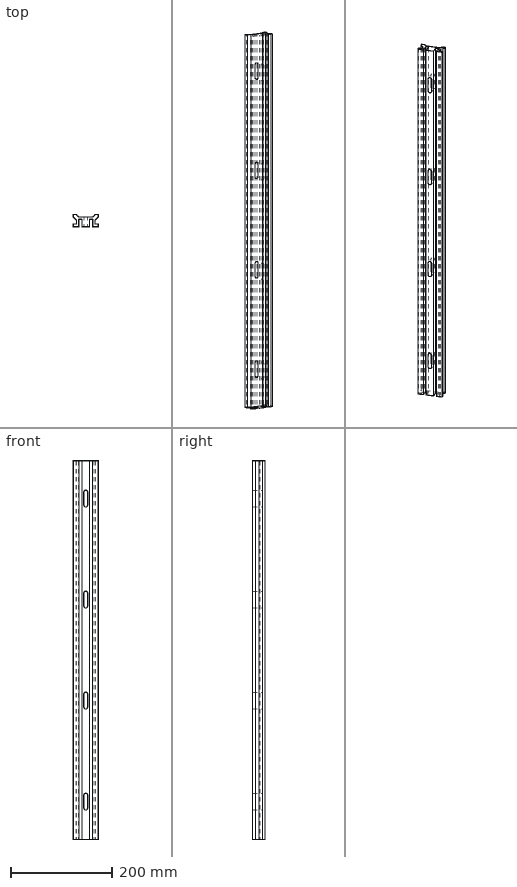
import cadquery as cq

WIDTH = 50.0
DEPTH = 25.0
LENGTH = 750.0

TROUGH_DEPTH = 5.0
TROUGH_FLOOR_HALF_WIDTH = 14.0

CHANNEL_BOTTOM = 6.0
CHANNEL_MOUTH_TOP = 19.5
CHANNEL_DEPTH = 6.5

GROOVE_WIDTH = 6.0
GROOVE_DEPTH = 15.0
GROOVE_OFFSET = 10.5

SLOT_WIDTH = 7.0
SLOT_LENGTH = 33.0
SLOT_COUNT = 4
SLOT_PITCH = 200.0

HALF_WIDTH = WIDTH / 2
FRONT_Y = -DEPTH / 2
BACK_Y = DEPTH / 2


def rail_body():
    """Extrude the outer profile: side channels plus the back trough."""
    channel_floor_x = HALF_WIDTH - CHANNEL_DEPTH
    trough_edge_x = TROUGH_FLOOR_HALF_WIDTH + TROUGH_DEPTH
    right_side = [
        (HALF_WIDTH, FRONT_Y),
        (HALF_WIDTH, FRONT_Y + CHANNEL_BOTTOM),
        (channel_floor_x, FRONT_Y + CHANNEL_BOTTOM),
        (channel_floor_x, FRONT_Y + CHANNEL_MOUTH_TOP - CHANNEL_DEPTH),
        (HALF_WIDTH, FRONT_Y + CHANNEL_MOUTH_TOP),
        (HALF_WIDTH, BACK_Y),
        (trough_edge_x, BACK_Y),
        (TROUGH_FLOOR_HALF_WIDTH, BACK_Y - TROUGH_DEPTH),
    ]
    left_side = [(-x, y) for x, y in reversed(right_side)]
    return cq.Workplane("XY").polyline(right_side + left_side).close().extrude(LENGTH)


def front_grooves():
    """Two rectangular grooves running the full length of the front face."""
    return (
        cq.Workplane("XY")
        .pushPoints([(side * GROOVE_OFFSET, FRONT_Y + GROOVE_DEPTH / 2) for side in (-1, 1)])
        .rect(GROOVE_WIDTH, GROOVE_DEPTH)
        .extrude(LENGTH)
    )


def mounting_slots():
    """Round-ended slots along the centre line, passing through front to back."""
    first_z = (LENGTH - (SLOT_COUNT - 1) * SLOT_PITCH) / 2
    return (
        cq.Workplane("XZ")
        .pushPoints([(0, first_z + index * SLOT_PITCH) for index in range(SLOT_COUNT)])
        .slot2D(SLOT_LENGTH, SLOT_WIDTH, angle=90)
        .extrude(DEPTH, both=True)
    )


result = rail_body().cut(front_grooves()).cut(mounting_slots())